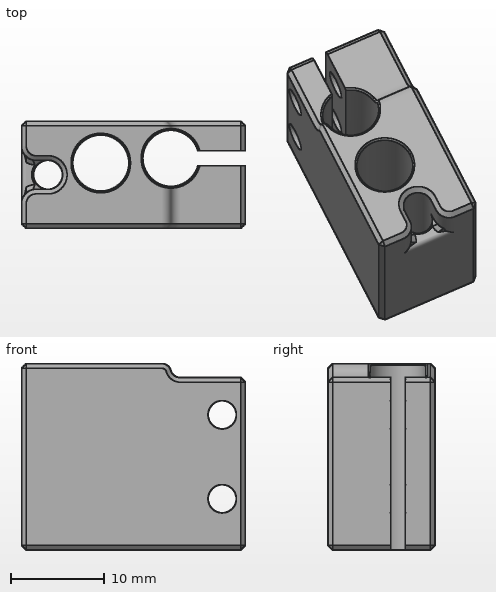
import cadquery as cq
import math

length = 24.0
width = 11.5
height = 20.0
edge_chamfer = 0.5

step_drop = 1.5
step_radius = 1.0
step_x = 16.0

bore_diameter = 6.0
rim_chamfer = 0.2
heater_center = (8.5, 7.0)
sensor_center = (16.0, 7.5)
clamp_gap = 1.58

notch_center = (2.83, width / 2)
notch_width = 3.1
notch_radius = notch_width / 2
notch_depth = 4.0
notch_floor_z = height - notch_depth
floor_bevel = 0.5
lip_radius = 0.5
mouth_radius = 1.54

cross_hole_diameter = 3.0
cross_hole_x = 21.5
cross_hole_spacing = 9.0
lower_cross_hole_z = 5.5


def stepped_block():
    """Block whose top steps down through an S-shaped transition."""
    low_top = height - step_drop
    angle = math.acos(1 - step_drop / 2 / step_radius)
    half_run = step_radius * math.sin(angle)
    mid_run = step_radius * math.sin(angle / 2)
    mid_drop = step_radius * (1 - math.cos(angle / 2))
    start_x = step_x - half_run
    end_x = step_x + half_run
    return (
        cq.Workplane("XZ")
        .lineTo(length, 0)
        .lineTo(length, low_top)
        .lineTo(end_x, low_top)
        .threePointArc((end_x - mid_run, low_top + mid_drop), (step_x, height - step_drop / 2))
        .threePointArc((start_x + mid_run, height - mid_drop), (start_x, height))
        .lineTo(0, height)
        .close()
        .extrude(-width)
    )


def notch_prism(bottom_z):
    """Upright prism of the notch: a round end, straight walls and a flared mouth."""
    center_x, center_y = notch_center
    wall_front = center_y - notch_radius
    wall_back = center_y + notch_radius
    mouth_front = wall_front - mouth_radius
    mouth_back = wall_back + mouth_radius
    arc_x = mouth_radius * (1 - math.sqrt(0.5))
    arc_y = mouth_radius * math.sqrt(0.5)
    return (
        cq.Workplane("XY", origin=(0, 0, bottom_z))
        .moveTo(0, mouth_front)
        .threePointArc((arc_x, mouth_front + arc_y), (mouth_radius, wall_front))
        .lineTo(center_x, wall_front)
        .threePointArc((center_x + notch_radius, center_y), (center_x, wall_back))
        .lineTo(mouth_radius, wall_back)
        .threePointArc((arc_x, mouth_back - arc_y), (0, mouth_back))
        .close()
        .extrude(height - bottom_z)
    )


def lip_cutter():
    """Rounds the notch floor down to the -X face and ends the floor bevel there."""
    lip_z = notch_floor_z - lip_radius
    sag = lip_radius * (1 - math.sqrt(0.5))
    strip = (
        cq.Workplane("XZ")
        .moveTo(0, lip_z)
        .threePointArc((sag, notch_floor_z - sag), (lip_radius, notch_floor_z))
        .lineTo(lip_radius, height)
        .lineTo(0, height)
        .close()
        .extrude(-width)
    )
    return notch_prism(lip_z).intersect(strip)


def notch_cutter():
    """Notch with a bevel where the walls meet the floor."""
    prism = notch_prism(notch_floor_z)
    return prism.faces("<Z").edges("not <X").chamfer(floor_bevel)


def front_bevel_end():
    """Tetrahedron that tapers the front floor bevel from its cut end out to the mouth corner."""
    mouth_y = notch_center[1] - notch_radius - mouth_radius
    from_arc_center = mouth_radius - lip_radius
    wall_y = mouth_y + math.sqrt(mouth_radius**2 - from_arc_center**2)
    floor_y = mouth_y + math.sqrt((mouth_radius + floor_bevel) ** 2 - from_arc_center**2)
    wall_foot = (lip_radius, wall_y, notch_floor_z)
    wall_top = (lip_radius, wall_y, notch_floor_z + floor_bevel)
    floor_point = (lip_radius, floor_y, notch_floor_z)
    mouth_corner = (0, mouth_y, notch_floor_z - lip_radius)
    triangles = [
        (wall_foot, wall_top, floor_point),
        (wall_foot, mouth_corner, wall_top),
        (wall_foot, floor_point, mouth_corner),
        (wall_top, mouth_corner, floor_point),
    ]
    faces = []
    for corners in triangles:
        vectors = [cq.Vector(*corner) for corner in corners]
        outline = cq.Wire.makePolygon(vectors, close=True)
        faces.append(cq.Face.makeFromWires(outline))
    return cq.Workplane(cq.Solid.makeSolid(cq.Shell.makeShell(faces)))


def vertical_hole(center, diameter):
    """Through hole along Z."""
    return cq.Workplane("XY").center(*center).circle(diameter / 2).extrude(height)


def rim_cutter(center, diameter, rim_z, headroom=0):
    """Conical rim of a vertical hole; the cone goes on widening for the headroom above rim_z."""
    radius = diameter / 2
    cone_height = rim_chamfer + headroom
    return (
        cq.Workplane("XY", origin=(0, 0, rim_z - rim_chamfer))
        .center(*center)
        .circle(radius)
        .workplane(offset=cone_height)
        .circle(radius + cone_height)
        .loft()
    )


part = stepped_block().cut(notch_prism(notch_floor_z))
side_edges = part.faces("<Y or >Y").edges()
end_edges = part.faces("<Z or >X").edges("|Y")
top_edges = part.faces(">Z").edges("not (>X or <Y or >Y)")
part = side_edges.add(end_edges).add(top_edges).chamfer(edge_chamfer)

floor_band = notch_prism(notch_floor_z).cut(notch_cutter())
part = part.union(floor_band).cut(lip_cutter())
bevel_end = front_bevel_end()
part = part.union(bevel_end).union(bevel_end.mirror("XZ", (0, notch_center[1], 0)))

sensor_radius = bore_diameter / 2
part = part.cut(vertical_hole(sensor_center, bore_diameter))
rim_bottom = height - step_drop - rim_chamfer
rim_box = cq.selectors.BoxSelector(
    (sensor_center[0] - sensor_radius, sensor_center[1] - sensor_radius, rim_bottom),
    (sensor_center[0] + sensor_radius, sensor_center[1] + sensor_radius, height + rim_chamfer),
)
part = part.edges(rim_box).edges("not %LINE").chamfer(rim_chamfer)

gap_length = length - sensor_center[0]
clamp = cq.Workplane("XY").box(gap_length, clamp_gap, height, centered=(False, True, False))
part = part.cut(clamp.translate((*sensor_center, 0)))

part = part.cut(vertical_hole(heater_center, bore_diameter))
part = part.cut(rim_cutter(heater_center, bore_diameter, height))

part = part.cut(vertical_hole(notch_center, notch_width))
notch_rim = rim_cutter(notch_center, notch_width, notch_floor_z, floor_bevel)
part = part.cut(notch_rim.intersect(notch_prism(notch_floor_z - rim_chamfer)))

for index in range(2):
    hole_z = lower_cross_hole_z + index * cross_hole_spacing
    cross_hole = (
        cq.Workplane("XZ")
        .center(cross_hole_x, hole_z)
        .circle(cross_hole_diameter / 2)
        .extrude(-width)
    )
    part = part.cut(cross_hole)

result = cq.Workplane(part.solids().val())